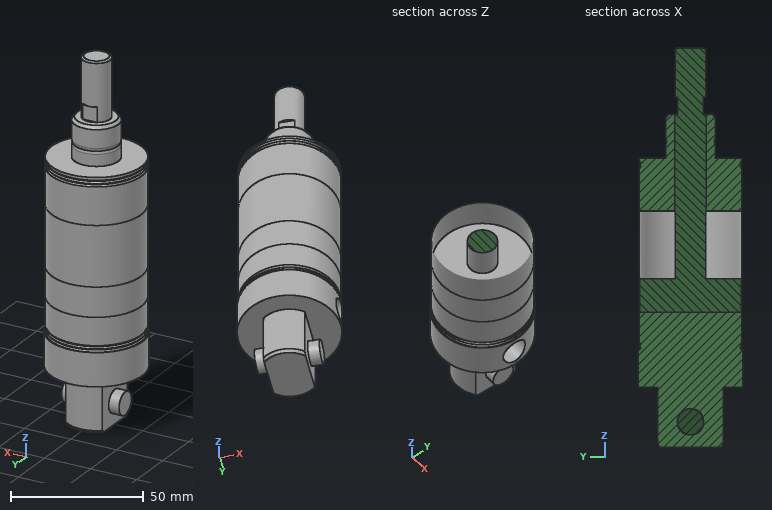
import cadquery as cq

CAP_BOTTOM = 22.6
CAP_TOP = 36.8
BARREL_BOTTOM = 39.5
BORE_BOTTOM = 51.1
PISTON_TOP = 63.7
BORE_TOP = 89.2
BARREL_TOP = 105.3
HEAD_TOP = 109.2
NECK_GROOVE_BOTTOM = 114.4
NECK_GROOVE_ROOT = 115.4
NECK_GROOVE_TOP = 116.8
NECK_TOP = 125.8
FLAT_TOP = 132.2
ROD_TOP = 150.9

CAP_RADIUS = 39.7 / 2
BARREL_RADIUS = 39.0 / 2
BORE_RADIUS = 38.3 / 2
CRIMP_WIDTH = (BARREL_BOTTOM - CAP_TOP) / 2
CRIMP_DEPTH = 0.6
NECK_RADIUS = 18.9 / 2
NECK_GROOVE_DEPTH = 0.3
NECK_CHAMFER_HEIGHT = 1.4
NECK_CHAMFER_WIDTH = 1.0

PORT_DIAMETER = 10.5
PORT_DEPTH = 9.0
PORT_HEIGHT = (CAP_BOTTOM + CAP_TOP) / 2

LUG_RADIUS = 25.0 / 2
LUG_THICKNESS = 16.0
LUG_CHAMFER_HEIGHT = 1.2
LUG_CHAMFER_WIDTH = 0.9
PIN_DIAMETER = 9.7
PIN_LENGTH = 2 * LUG_RADIUS
PIN_HEIGHT = 9.7

ROD_RADIUS = 11.6 / 2
ROD_CHAMFER_HEIGHT = 0.6
ROD_CHAMFER_WIDTH = 0.9
ACROSS_FLATS = 9.8


def revolve_outline(points):
    """Revolve a closed outline of (radius, height) points about Z."""
    return cq.Workplane("XZ").polyline(points).close().revolve(360, (0, 0), (0, 1))


def cylinder_along_x(diameter, start, length, height):
    """A cylinder parallel to X, from x = start, with its axis at the given height."""
    return cq.Workplane("YZ", origin=(start, 0, height)).circle(diameter / 2).extrude(length)


def crimp_groove(bottom):
    """Outline points of one V groove around the barrel, going up from its lower edge."""
    return [
        (BARREL_RADIUS, bottom),
        (BARREL_RADIUS - CRIMP_DEPTH, bottom + CRIMP_WIDTH / 2),
        (BARREL_RADIUS, bottom + CRIMP_WIDTH),
    ]


def make_turned_body():
    """End cap, crimped barrel and stepped neck, still solid inside."""
    return revolve_outline([
        (0, CAP_BOTTOM),
        (CAP_RADIUS, CAP_BOTTOM),
        (CAP_RADIUS, CAP_TOP),
        *crimp_groove(CAP_TOP),
        *crimp_groove(CAP_TOP + CRIMP_WIDTH)[1:],
        *crimp_groove(BARREL_TOP),
        *crimp_groove(BARREL_TOP + CRIMP_WIDTH)[1:],
        (BARREL_RADIUS, HEAD_TOP),
        (NECK_RADIUS, HEAD_TOP),
        (NECK_RADIUS, NECK_GROOVE_BOTTOM),
        (NECK_RADIUS - NECK_GROOVE_DEPTH, NECK_GROOVE_ROOT),
        (NECK_RADIUS, NECK_GROOVE_TOP),
        (NECK_RADIUS, NECK_TOP - NECK_CHAMFER_HEIGHT),
        (NECK_RADIUS - NECK_CHAMFER_WIDTH, NECK_TOP),
        (0, NECK_TOP),
    ])


def make_lug():
    """Round lug with a chamfered end, cut to two flat sides facing X."""
    lug = revolve_outline([
        (0, 0),
        (LUG_RADIUS - LUG_CHAMFER_WIDTH, 0),
        (LUG_RADIUS, LUG_CHAMFER_HEIGHT),
        (LUG_RADIUS, CAP_BOTTOM),
        (0, CAP_BOTTOM),
    ])
    slab = cq.Workplane("XY").rect(LUG_THICKNESS, 2 * LUG_RADIUS).extrude(CAP_BOTTOM)
    return lug.intersect(slab)


def make_piston_rod():
    """Piston and rod in one piece, with two wrench flats facing Y above the neck."""
    rod = revolve_outline([
        (0, BORE_BOTTOM),
        (BORE_RADIUS, BORE_BOTTOM),
        (BORE_RADIUS, PISTON_TOP),
        (ROD_RADIUS, PISTON_TOP),
        (ROD_RADIUS, ROD_TOP - ROD_CHAMFER_HEIGHT),
        (ROD_RADIUS - ROD_CHAMFER_WIDTH, ROD_TOP),
        (0, ROD_TOP),
    ])
    flats_length = FLAT_TOP - NECK_TOP
    flats_section = cq.Workplane("XY", origin=(0, 0, NECK_TOP))
    wrench_stock = flats_section.rect(2 * ROD_RADIUS, 2 * ROD_RADIUS).extrude(flats_length)
    wrench_core = flats_section.rect(2 * ROD_RADIUS, ACROSS_FLATS).extrude(flats_length)
    return rod.cut(wrench_stock.cut(wrench_core))


def make_pin():
    """Pivot pin through the lug."""
    return cylinder_along_x(PIN_DIAMETER, -PIN_LENGTH / 2, PIN_LENGTH, PIN_HEIGHT)


def make_housing(pin):
    """Barrel with its lug, bored for the piston, the rod and the pin, with a side port."""
    bore = cq.Workplane("XY", origin=(0, 0, BORE_BOTTOM)).circle(BORE_RADIUS).extrude(BORE_TOP - BORE_BOTTOM)
    rod_hole = cq.Workplane("XY", origin=(0, 0, BORE_TOP)).circle(ROD_RADIUS).extrude(NECK_TOP - BORE_TOP)
    port = cylinder_along_x(PORT_DIAMETER, CAP_RADIUS - PORT_DEPTH, PORT_DEPTH, PORT_HEIGHT)
    body = make_turned_body().union(make_lug())
    return body.cut(bore).cut(rod_hole).cut(port).cut(pin)


pin = make_pin()
housing = make_housing(pin)
piston_rod = make_piston_rod()

result = cq.Compound.makeCompound([housing.val(), piston_rod.val(), pin.val()])